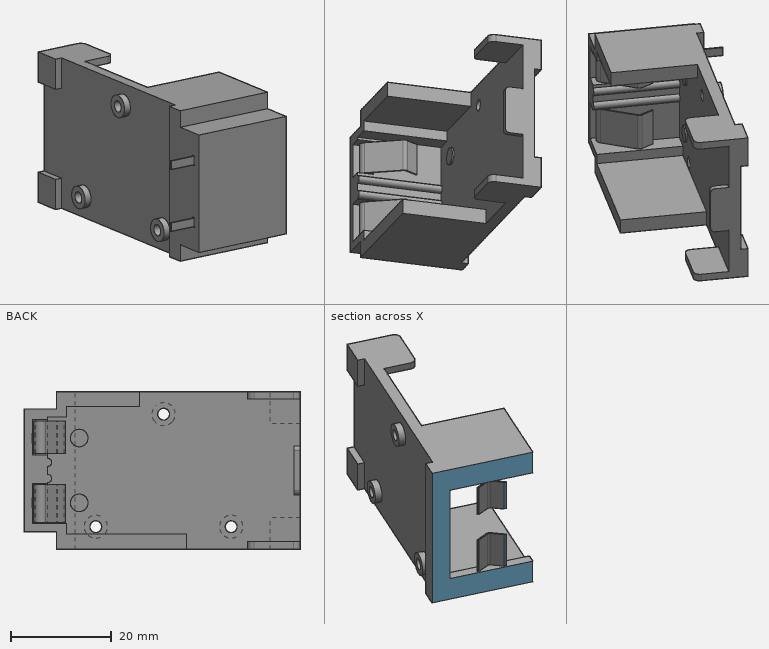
import cadquery as cq
import math


length = 54.94
width = 31.37
height = 21.4
half_width = width / 2

pad_height = 1.45
floor_top = 3.9
corner_pad_length = 6.0
corner_pad_width = 6.3
end_pad_start = 44.8

boss_diameter = 4.6
boss_hole_diameter = 2.3
boss_z = 11.2
boss_positions = [(13.75, -boss_z), (27.2, boss_z), (40.7, -boss_z)]

clip_length = 10.55
clip_top = 10.85
clip_thickness = 1.5
clip_radius = 1.3
tab_thickness = 1.2
tab_width = 9.76
tab_top = 7.6
tab_radius = 0.9

upper_wall_start = 31.95
lower_wall_start = 22.6
wall_end = 48.55
wall_thickness = 3.0
step_start = 46.5
step_inner_z = 10.6
end_block_width = 24.5
end_face = 50.3

rib_radius = 0.83
rib_z = 1.6

floor_disc_radius = 1.75
floor_disc_height = 0.35
floor_disc_x = 44.0

contact_z = 6.6
pin_z = 6.45
plus_width = 6.45
minus_width = 7.6
plus_pocket_width = 7.0
minus_pocket_width = 8.0
notch_bottom = 18.05
strip_thickness = 0.3
pin_width = 1.8
pin_length = 5.47
leg_x = 52.98
slot_thickness = 0.65
slot_width = 2.0
contact_top = 20.45
top_bend_radius = 1.3
tip_bend_radius = 0.9
tip_bend_y = 12.6
free_end_y = 9.6
spring_angle = math.radians(30)


def block(x_range, y_range, z_range):
    """Box between two limits on each axis."""
    sizes = [end - start for start, end in (x_range, y_range, z_range)]
    corner = (x_range[0], y_range[0], z_range[0])
    return cq.Workplane("XY").box(*sizes, centered=False).translate(corner)


def upright_cylinder(x, z, radius, bottom, top):
    """Cylinder standing along Y."""
    solid = cq.Solid.makeCylinder(radius, top - bottom, cq.Vector(x, bottom, z), cq.Vector(0, 1, 0))
    return cq.Workplane(solid)


def side_clip(side):
    """Rounded side clip with the corner pad under it, on the +Z or -Z side."""
    outer = side * half_width
    clip_z = sorted((outer, outer - side * clip_thickness))
    pad_z = sorted((outer, outer - side * corner_pad_width))
    clip = block((0, clip_length), (pad_height, clip_top), clip_z)
    clip = clip.edges("|Z and >Y").fillet(clip_radius)
    return clip.union(block((0, corner_pad_length), (0, floor_top), pad_z))


def end_tab():
    """Low rounded tab in the middle of the open end."""
    tab = block((0, tab_thickness), (pad_height, tab_top), (-tab_width / 2, tab_width / 2))
    return tab.edges("|X and >Y").fillet(tab_radius)


def side_wall(side, start):
    """Tall side wall with its thicker step beside the end block."""
    outer = side * half_width
    wall_z = sorted((outer, outer - side * wall_thickness))
    step_z = sorted((outer, side * step_inner_z))
    wall = block((start, wall_end), (pad_height, height), wall_z)
    return wall.union(block((step_start, wall_end), (pad_height, height), step_z))


def contact_pocket(side, pocket_width):
    """Slot for the contact leg, pin opening below it and notch above the inner end face."""
    center = side * contact_z
    pocket_z = (center - pocket_width / 2, center + pocket_width / 2)
    opening_z = (side * pin_z - slot_width / 2, side * pin_z + slot_width / 2)
    slot_x = (leg_x - slot_thickness / 2, leg_x + slot_thickness / 2)
    slot = block(slot_x, (floor_top, height), pocket_z)
    opening = block(slot_x, (0, floor_top), opening_z)
    notch = block((end_face, slot_x[1]), (notch_bottom, height), pocket_z)
    return slot.union(opening).union(notch)


def make_housing():
    body = block((0, wall_end), (pad_height, floor_top), (-half_width, half_width))
    body = body.union(block((end_pad_start, wall_end), (0, floor_top), (-half_width, half_width)))

    half_block = end_block_width / 2
    body = body.union(block((wall_end, length), (0, floor_top), (-half_block, half_block)))
    body = body.union(block((wall_end, end_face), (floor_top, height), (step_inner_z, half_block)))
    body = body.union(block((wall_end, end_face), (floor_top, height), (-half_block, -step_inner_z)))
    body = body.union(block((end_face, length), (floor_top, height), (-half_block, half_block)))
    body = body.union(side_wall(1, upper_wall_start))
    body = body.union(side_wall(-1, lower_wall_start))

    for side in (1, -1):
        body = body.union(side_clip(side))
    body = body.union(end_tab())

    for side in (1, -1):
        body = body.union(upright_cylinder(end_face, side * rib_z, rib_radius, pad_height, height))
        disc_top = floor_top + floor_disc_height
        body = body.union(
            upright_cylinder(floor_disc_x, side * pin_z, floor_disc_radius, pad_height, disc_top)
        )

    for x, z in boss_positions:
        body = body.union(upright_cylinder(x, z, boss_diameter / 2, 0, floor_top))
        body = body.cut(upright_cylinder(x, z, boss_hole_diameter / 2, 0, floor_top))

    body = body.cut(contact_pocket(1, plus_pocket_width))
    return body.cut(contact_pocket(-1, minus_pocket_width))


def spring_profile():
    """Side outline of the bent strip, from the shoulder of its leg round to the free end."""
    sine = math.sin(spring_angle)
    cosine = math.cos(spring_angle)
    top_x = leg_x + strip_thickness / 2 - top_bend_radius
    top_y = contact_top - top_bend_radius
    top_inner = top_bend_radius - strip_thickness
    tip_inner = tip_bend_radius - strip_thickness

    slope_top_x = top_x - top_bend_radius * cosine
    slope_top_y = top_y + top_bend_radius * sine
    slope_bottom_y = tip_bend_y + tip_bend_radius * sine
    slope_bottom_x = slope_top_x - (slope_top_y - slope_bottom_y) * math.tan(spring_angle)
    tip_x = slope_bottom_x + tip_bend_radius * cosine

    tail_y = tip_bend_y - tip_bend_radius * sine
    tail_length = (tail_y - free_end_y) / cosine
    end_x = slope_bottom_x + tail_length * sine

    def on_arc(center, radius, angle):
        return (center[0] + radius * math.cos(angle), center[1] + radius * math.sin(angle))

    top = (top_x, top_y)
    tip = (tip_x, tip_bend_y)
    upper_angle = math.pi - spring_angle
    lower_angle = math.pi + spring_angle
    outer_end = (end_x, free_end_y)
    inner_end = (end_x + strip_thickness * cosine, free_end_y + strip_thickness * sine)
    return (
        cq.Workplane("XY")
        .moveTo(top_x + top_bend_radius, floor_top)
        .lineTo(top_x + top_bend_radius, top_y)
        .threePointArc(on_arc(top, top_bend_radius, upper_angle / 2), (slope_top_x, slope_top_y))
        .lineTo(slope_bottom_x, slope_bottom_y)
        .threePointArc((tip_x - tip_bend_radius, tip_bend_y), on_arc(tip, tip_bend_radius, lower_angle))
        .lineTo(*outer_end)
        .lineTo(*inner_end)
        .lineTo(*on_arc(tip, tip_inner, lower_angle))
        .threePointArc((tip_x - tip_inner, tip_bend_y), on_arc(tip, tip_inner, upper_angle))
        .lineTo(*on_arc(top, top_inner, upper_angle))
        .threePointArc(on_arc(top, top_inner, upper_angle / 2), (top_x + top_inner, top_y))
        .lineTo(top_x + top_inner, floor_top)
        .close()
    )


def make_contact(side, strip_width):
    """Spring contact whose leg stands on the floor and narrows to a solder pin."""
    spring = spring_profile().extrude(strip_width / 2, both=True).translate((0, 0, side * contact_z))
    pin_x = (leg_x - strip_thickness / 2, leg_x + strip_thickness / 2)
    pin_span = (side * pin_z - pin_width / 2, side * pin_z + pin_width / 2)
    return spring.union(block(pin_x, (-pin_length, floor_top), pin_span))


housing = make_housing()
contacts = [make_contact(side, strip) for side, strip in ((1, plus_width), (-1, minus_width))]

result = cq.Compound.makeCompound([housing.val(), *[contact.val() for contact in contacts]])